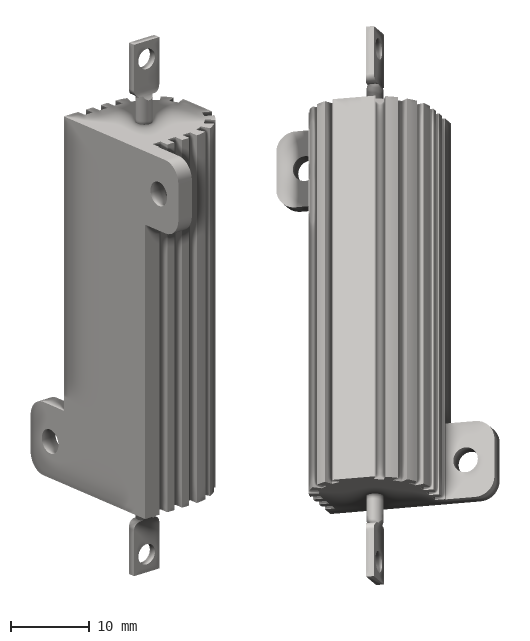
import cadquery as cq
import math

TOTAL_LENGTH = 72.25
BODY_LENGTH = 50.0
BODY_WIDTH = 16.0
BODY_DEPTH = 15.45

BACK_CENTER_Y = 7.95
BACK_RADIUS = BODY_WIDTH / 2

GROOVE_WIDTH = 1.3
GROOVE_FLOOR = 6.65
FLANK_GROOVE_PITCH = 2.45
FLANK_GROOVE_COUNT = 3
BACK_GROOVE_STEP = 21.5
BACK_GROOVE_COUNT = 3

OVERALL_WIDTH = 29.0
TAB_THICKNESS = 2.25
TAB_HEIGHT = 10.0
TAB_CORNER_RADIUS = 2.5
TAB_HOLE_DIAMETER = 3.25
TAB_HOLE_INSET = 3.8

TERMINAL_Y = 6.6
PIN_RADIUS = 1.1
BLADE_WIDTH = 4.2
BLADE_THICKNESS = 1.0
BLADE_LENGTH = 6.3
BLADE_HOLE_DIAMETER = 2.75
BLADE_HOLE_INSET = 2.45
FLARE_LENGTH = 1.6

BODY_TOP = BODY_LENGTH / 2
TERMINAL_TOP = TOTAL_LENGTH / 2


def make_body():
    """Extruded D-shaped bar, mounting face at Y = 0."""
    crown_x = math.sqrt(BACK_RADIUS**2 - (BODY_DEPTH - BACK_CENTER_Y) ** 2)
    arc_x = BACK_RADIUS * math.cos(math.radians(45))
    arc_y = BACK_CENTER_Y + BACK_RADIUS * math.sin(math.radians(45))
    return (
        cq.Workplane("XY", origin=(0, 0, -BODY_TOP))
        .moveTo(-BACK_RADIUS, 0)
        .lineTo(BACK_RADIUS, 0)
        .lineTo(BACK_RADIUS, BACK_CENTER_Y)
        .threePointArc((arc_x, arc_y), (crown_x, BODY_DEPTH))
        .lineTo(-crown_x, BODY_DEPTH)
        .threePointArc((-arc_x, arc_y), (-BACK_RADIUS, BACK_CENTER_Y))
        .close()
        .extrude(BODY_LENGTH)
    )


def make_groove(center_y, angle):
    """Full-length slot opening outward at an angle from +X about (0, center_y)."""
    return (
        cq.Workplane("XY")
        .box(BODY_WIDTH, GROOVE_WIDTH, BODY_LENGTH, centered=(False, True, True))
        .translate((GROOVE_FLOOR, 0, 0))
        .rotate((0, 0, 0), (0, 0, 1), angle)
        .translate((0, center_y, 0))
    )


def cut_grooves(body):
    """Cut the flank grooves and the radial back grooves on both sides."""
    grooves = []
    for index in range(FLANK_GROOVE_COUNT):
        grooves.append(make_groove(BACK_CENTER_Y - index * FLANK_GROOVE_PITCH, 0))
    for index in range(1, BACK_GROOVE_COUNT + 1):
        grooves.append(make_groove(BACK_CENTER_Y, index * BACK_GROOVE_STEP))
    for groove in grooves:
        body = body.cut(groove).cut(groove.mirror("YZ"))
    return body


def make_tab():
    """Drilled tab at the upper +X corner, reaching in to the middle of the body."""
    tab_reach = OVERALL_WIDTH / 2
    tab_middle_z = BODY_TOP - TAB_HEIGHT / 2
    plate = (
        cq.Workplane("XY")
        .box(tab_reach, TAB_THICKNESS, TAB_HEIGHT, centered=(False, False, True))
        .edges("|Y and >X")
        .fillet(TAB_CORNER_RADIUS)
    )
    hole = (
        cq.Workplane("XZ")
        .center(tab_reach - TAB_HOLE_INSET, 0)
        .circle(TAB_HOLE_DIAMETER / 2)
        .extrude(-TAB_THICKNESS)
    )
    return plate.cut(hole).translate((0, 0, tab_middle_z))


def make_terminal():
    """Upper terminal, rising from the +Z end of the body."""
    half_width = BLADE_WIDTH / 2
    half_thickness = BLADE_THICKNESS / 2
    blade_base = TERMINAL_TOP - BLADE_LENGTH
    shoulder_radius = half_width - PIN_RADIUS
    shoulder_bottom = blade_base - shoulder_radius

    pin = (
        cq.Workplane("XY", origin=(0, 0, BODY_TOP))
        .circle(PIN_RADIUS)
        .extrude(blade_base - BODY_TOP)
    )
    blade = (
        cq.Workplane("XY", origin=(0, 0, shoulder_bottom))
        .box(2 * PIN_RADIUS, BLADE_WIDTH, TERMINAL_TOP - shoulder_bottom, centered=(True, True, False))
        .edges("|X and <Z")
        .fillet(shoulder_radius)
    )

    flare_step = PIN_RADIUS - half_thickness
    flare_radius = (flare_step**2 + FLARE_LENGTH**2) / (2 * flare_step)
    half_angle = math.asin(FLARE_LENGTH / flare_radius) / 2
    mid_x = half_thickness + flare_radius * (1 - math.cos(half_angle))
    mid_z = blade_base - flare_radius * math.sin(half_angle)
    flare_base = blade_base - FLARE_LENGTH
    flattening = (
        cq.Workplane("XZ")
        .moveTo(-PIN_RADIUS, BODY_TOP)
        .lineTo(PIN_RADIUS, BODY_TOP)
        .lineTo(PIN_RADIUS, flare_base)
        .threePointArc((mid_x, mid_z), (half_thickness, blade_base))
        .lineTo(half_thickness, TERMINAL_TOP)
        .lineTo(-half_thickness, TERMINAL_TOP)
        .lineTo(-half_thickness, blade_base)
        .threePointArc((-mid_x, mid_z), (-PIN_RADIUS, flare_base))
        .close()
        .extrude(half_width, both=True)
    )
    hole = (
        cq.Workplane("YZ")
        .center(0, TERMINAL_TOP - BLADE_HOLE_INSET)
        .circle(BLADE_HOLE_DIAMETER / 2)
        .extrude(BLADE_THICKNESS, both=True)
    )
    return pin.union(blade).intersect(flattening).cut(hole).translate((0, TERMINAL_Y, 0))


tab = make_tab()
terminal = make_terminal()

result = cut_grooves(make_body())
result = result.union(tab).union(tab.rotate((0, 0, 0), (0, 1, 0), 180))
result = result.union(terminal).union(terminal.mirror("XY"))